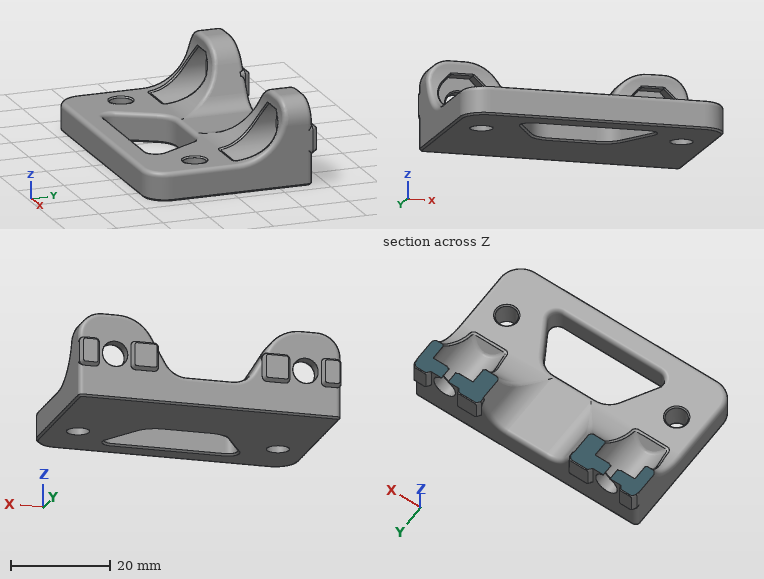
import math

import cadquery as cq

WIDTH = 55.0
DEPTH = 35.0
HEIGHT = 18.0
PLATE_THICKNESS = 6.0
CORNER_RADIUS = 5.0
EDGE_FILLET = 1.0
BASE_CHAMFER = 0.4
HALF_WIDTH = WIDTH / 2

TOLERANCE = 0.01
SWEEP_TOLERANCE = 0.02

EAR_THICKNESS = 6.0
EAR_SWEEP_RADIUS = 10.0
EAR_SLOPE_DEG = 60.0
EAR_FLAT_END_X = 19.25
EAR_CROWN_RADIUS = 8.0
SADDLE_RADIUS = 5.0

EAR_HOLE_X = 20.0
EAR_HOLE_Z = 9.5
EAR_HOLE_DIAMETER = 5.3
POCKET_RADIUS = 5.5
POCKET_FLOOR_Y = -3.0
POCKET_END_Y = -15.8
POCKET_END_FILLET = 1.0
POCKET_RIM_CHAMFER = 0.3
HOLE_CHAMFER = 0.3

PLATE_HOLE_X = 21.0
PLATE_HOLE_Y = -23.0
PLATE_HOLE_DIAMETER = 4.7

WINDOW_BACK_Y = -17.05
WINDOW_FRONT_Y = -30.0
WINDOW_FRONT_HALF_WIDTH = 15.45
WINDOW_SLOPE_DEG = 60.0
WINDOW_BACK_RADIUS = 5.0
WINDOW_FRONT_RADIUS = 2.0

KEY_HEIGHT = 6.0
KEY_PROJECTION = 1.0
KEY_TAPER_DEG = 30.0
KEY_CORNER_RADIUS = 1.0
KEY_INNER_X = 10.9
KEY_GAP = 6.6


def ear_outline():
    """Front outline (XZ): two rounded ears joined by a low saddle."""
    slope = math.radians(EAR_SLOPE_DEG)
    half = slope / 2
    crown_z = HEIGHT - EAR_CROWN_RADIUS
    crown_end = (
        EAR_FLAT_END_X - EAR_CROWN_RADIUS * math.sin(slope),
        crown_z + EAR_CROWN_RADIUS * math.cos(slope),
    )
    crown_mid = (
        EAR_FLAT_END_X - EAR_CROWN_RADIUS * math.sin(half),
        crown_z + EAR_CROWN_RADIUS * math.cos(half),
    )
    saddle_z = PLATE_THICKNESS + SADDLE_RADIUS
    saddle_start_z = saddle_z - SADDLE_RADIUS * math.cos(slope)
    saddle_start_x = crown_end[0] - (crown_end[1] - saddle_start_z) / math.tan(slope)
    saddle_x = saddle_start_x - SADDLE_RADIUS * math.sin(slope)
    saddle_mid = (
        saddle_x + SADDLE_RADIUS * math.sin(half),
        saddle_z - SADDLE_RADIUS * math.cos(half),
    )
    shoulder_shift = CORNER_RADIUS * (1 - math.sqrt(0.5))
    half_outline = (
        cq.Workplane("XZ")
        .moveTo(0, 0)
        .lineTo(HALF_WIDTH, 0)
        .lineTo(HALF_WIDTH, HEIGHT - CORNER_RADIUS)
        .threePointArc(
            (HALF_WIDTH - shoulder_shift, HEIGHT - shoulder_shift),
            (HALF_WIDTH - CORNER_RADIUS, HEIGHT),
        )
        .lineTo(EAR_FLAT_END_X, HEIGHT)
        .threePointArc(crown_mid, crown_end)
        .lineTo(saddle_start_x, saddle_start_z)
        .threePointArc(saddle_mid, (saddle_x, PLATE_THICKNESS))
        .lineTo(0, PLATE_THICKNESS)
    )
    return half_outline.mirrorY()


def side_outline():
    """Side outline (YZ): the ear sweeps down into the plate."""
    sweep_end_y = -EAR_THICKNESS - EAR_SWEEP_RADIUS
    sweep_z = PLATE_THICKNESS + EAR_SWEEP_RADIUS
    sweep_shift = EAR_SWEEP_RADIUS * math.sqrt(0.5)
    return (
        cq.Workplane("YZ")
        .moveTo(0, 0)
        .lineTo(0, HEIGHT)
        .lineTo(-EAR_THICKNESS, HEIGHT)
        .lineTo(-EAR_THICKNESS, sweep_z)
        .threePointArc(
            (sweep_end_y + sweep_shift, sweep_z - sweep_shift),
            (sweep_end_y, PLATE_THICKNESS),
        )
        .lineTo(-DEPTH, PLATE_THICKNESS)
        .lineTo(-DEPTH, 0)
        .close()
    )


def is_front_rim(edge):
    """True for the sharp upper edges from the ear fronts round to the plate front."""
    box = edge.BoundingBox()
    in_front_of_ears = box.ymax < -EAR_THICKNESS + TOLERANCE
    above_sides = box.zmin > PLATE_THICKNESS - TOLERANCE
    flat_seam = box.ylen < TOLERANCE and box.zlen < TOLERANCE
    sweep_end_y = -EAR_THICKNESS - EAR_SWEEP_RADIUS
    sweep_top_z = PLATE_THICKNESS + EAR_SWEEP_RADIUS
    on_sweep_end = abs(box.ymin - sweep_end_y) < TOLERANCE
    on_sweep_top = abs(box.zmin - sweep_top_z) < TOLERANCE
    smooth_seam = flat_seam and (on_sweep_end or on_sweep_top)
    return in_front_of_ears and above_sides and not smooth_seam


def is_above_base(edge):
    """True for edges that do not lie on the base."""
    return edge.Center().z > TOLERANCE


def body():
    """Plate with two ears, rounded on its upper and back edges."""
    block = ear_outline().extrude(DEPTH)
    block = block.intersect(side_outline().extrude(HALF_WIDTH, both=True))
    block = block.edges("|Z and <Y").fillet(CORNER_RADIUS)
    back_rim = block.faces(">Y").edges().filter(is_above_base)
    front_rim = block.edges().filter(is_front_rim)
    return back_rim.add(front_rim).fillet(EDGE_FILLET)


def window():
    """Cutter for the trapezoidal window with rounded corners."""
    run = (WINDOW_BACK_Y - WINDOW_FRONT_Y) / math.tan(math.radians(WINDOW_SLOPE_DEG))
    back_half_width = WINDOW_FRONT_HALF_WIDTH - run
    return (
        cq.Workplane("XY")
        .polyline([
            (-WINDOW_FRONT_HALF_WIDTH, WINDOW_FRONT_Y),
            (WINDOW_FRONT_HALF_WIDTH, WINDOW_FRONT_Y),
            (back_half_width, WINDOW_BACK_Y),
            (-back_half_width, WINDOW_BACK_Y),
        ])
        .close()
        .extrude(PLATE_THICKNESS)
        .edges("|Z and >Y")
        .fillet(WINDOW_BACK_RADIUS)
        .edges("|Z and <Y")
        .fillet(WINDOW_FRONT_RADIUS)
    )


def is_window_rim(edge):
    """True for the upper edges of the window."""
    box = edge.BoundingBox()
    on_plate_top = box.zmin > PLATE_THICKNESS - TOLERANCE
    in_y = box.ymin > WINDOW_FRONT_Y - TOLERANCE and box.ymax < WINDOW_BACK_Y + TOLERANCE
    in_x = max(abs(box.xmin), abs(box.xmax)) < WINDOW_FRONT_HALF_WIDTH
    return on_plate_top and in_y and in_x


def plate_hole(x):
    """Cutter for a plate screw hole with a chamfered upper rim."""
    radius = PLATE_HOLE_DIAMETER / 2
    hole = cq.Workplane("XY").center(x, PLATE_HOLE_Y).circle(radius).extrude(PLATE_THICKNESS)
    rim = cq.Solid.makeCone(
        radius,
        radius + HOLE_CHAMFER,
        HOLE_CHAMFER,
        cq.Vector(x, PLATE_HOLE_Y, PLATE_THICKNESS - HOLE_CHAMFER),
    )
    return hole.union(cq.Workplane(rim))


def ear_hole(x):
    """Cutter for an ear screw hole with a chamfer at the pocket floor."""
    radius = EAR_HOLE_DIAMETER / 2
    backward = cq.Vector(0, 1, 0)
    hole = cq.Solid.makeCylinder(
        radius, -POCKET_FLOOR_Y, cq.Vector(x, POCKET_FLOOR_Y, EAR_HOLE_Z), backward
    )
    rim = cq.Solid.makeCone(
        radius + HOLE_CHAMFER,
        radius,
        HOLE_CHAMFER,
        cq.Vector(x, POCKET_FLOOR_Y, EAR_HOLE_Z),
        backward,
    )
    return cq.Workplane(hole).union(cq.Workplane(rim))


def pocket(x):
    """Cutter for a screw head pocket: a truncated teardrop with a 45 degree front end."""
    shoulder = POCKET_RADIUS * math.sqrt(0.5)
    flat_half_width = POCKET_RADIUS * (math.sqrt(2) - 1)
    teardrop = (
        cq.Workplane("XZ", origin=(x, POCKET_FLOOR_Y, EAR_HOLE_Z))
        .moveTo(-flat_half_width, POCKET_RADIUS)
        .lineTo(flat_half_width, POCKET_RADIUS)
        .lineTo(shoulder, shoulder)
        .threePointArc((0, -POCKET_RADIUS), (-shoulder, shoulder))
        .close()
        .extrude(DEPTH)
    )
    low_y = POCKET_END_Y + PLATE_THICKNESS
    high_y = low_y - HEIGHT
    behind_slope = (
        cq.Workplane("YZ", origin=(x, 0, 0))
        .polyline([(0, 0), (low_y, 0), (high_y, HEIGHT), (0, HEIGHT)])
        .close()
        .extrude(2 * POCKET_RADIUS, both=True)
    )
    bottom_z = EAR_HOLE_Z - POCKET_RADIUS
    bottom_front = cq.selectors.NearestToPointSelector(
        (x, low_y - bottom_z, bottom_z)
    )
    return teardrop.intersect(behind_slope).edges(bottom_front).fillet(POCKET_END_FILLET)


def is_pocket_rim(edge):
    """True for the edges where a pocket breaks through the swept ear front."""
    middle = edge.positionAt(0.5)
    sweep_y = -EAR_THICKNESS - EAR_SWEEP_RADIUS
    sweep_z = PLATE_THICKNESS + EAR_SWEEP_RADIUS
    from_axis = math.hypot(middle.y - sweep_y, middle.z - sweep_z)
    on_sweep = abs(from_axis - EAR_SWEEP_RADIUS) < SWEEP_TOLERANCE
    box = edge.BoundingBox()
    above_front = box.ymin > sweep_y + TOLERANCE
    below_top = box.zmax < EAR_HOLE_Z + POCKET_RADIUS + TOLERANCE
    inner_x = min(abs(box.xmin), abs(box.xmax))
    outer_x = max(abs(box.xmin), abs(box.xmax))
    beside_hole = (
        inner_x > EAR_HOLE_X - POCKET_RADIUS - TOLERANCE
        and outer_x < EAR_HOLE_X + POCKET_RADIUS + TOLERANCE
    )
    return on_sweep and above_front and below_top and beside_hole


def locating_keys(side):
    """Two tapered keys on the back of one ear, either side of its screw hole."""
    hole_edges = (EAR_HOLE_X - KEY_GAP / 2, EAR_HOLE_X + KEY_GAP / 2)
    spans = ((KEY_INNER_X, hole_edges[0]), (hole_edges[1], HALF_WIDTH))
    keys = cq.Workplane("XZ")
    for inner_x, outer_x in spans:
        middle_x = side * (inner_x + outer_x) / 2
        outline = cq.Sketch().rect(outer_x - inner_x, KEY_HEIGHT)
        outline = outline.vertices().fillet(KEY_CORNER_RADIUS)
        back_plane = cq.Workplane("XZ", origin=(middle_x, 0, EAR_HOLE_Z))
        root = back_plane.placeSketch(outline).extrude(EDGE_FILLET)
        tip = back_plane.placeSketch(outline).extrude(-KEY_PROJECTION, taper=KEY_TAPER_DEG)
        keys = keys.add(root.union(tip))
    return keys.combine()


result = body().cut(window())
result = result.edges().filter(is_window_rim).fillet(EDGE_FILLET)
result = result.faces("<Z").edges().chamfer(BASE_CHAMFER)
for side in (-1, 1):
    result = result.cut(pocket(side * EAR_HOLE_X))
result = result.edges().filter(is_pocket_rim).chamfer(POCKET_RIM_CHAMFER)
for side in (-1, 1):
    result = result.cut(ear_hole(side * EAR_HOLE_X))
    result = result.cut(plate_hole(side * PLATE_HOLE_X))
    result = result.union(locating_keys(side))